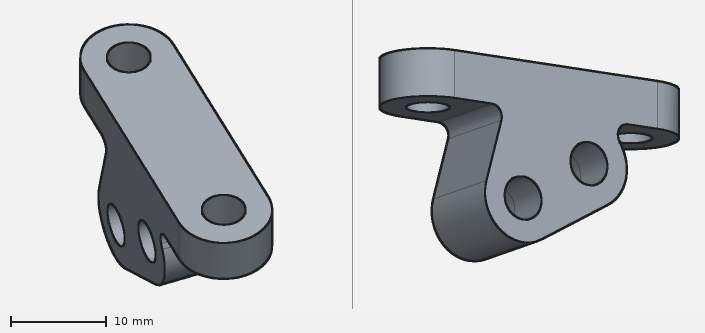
import cadquery as cq
import math

length = 35.55
width = 10.17
plate_thickness = 5.15
plate_hole_diameter = 4.6
plate_hole_x = (length - width) / 2

total_height = 19.55
lug_radius = 4.75
lug_hole_diameter = 4.62
low_pivot_x = -4.12
low_pivot_z = lug_radius - total_height
pivot_spacing = 9.53
pivot_line_angle = 30.0
left_flank_angle = 164.4
right_flank_angle = 30.0
root_fillet_radius = 1.28


def polar(center, radius, angle):
    """Point at a given radius and angle (degrees) about a centre."""
    turn = math.radians(angle)
    return (center[0] + radius * math.cos(turn), center[1] + radius * math.sin(turn))


def flank_end(tangent_point, normal_angle, z):
    """Point at height z on the line through tangent_point with the given normal."""
    rise = z - tangent_point[1]
    return (tangent_point[0] - rise * math.tan(math.radians(normal_angle)), z)


low_pivot = (low_pivot_x, low_pivot_z)
high_pivot = polar(low_pivot, pivot_spacing, pivot_line_angle)


def make_plate():
    return (
        cq.Workplane("XY")
        .slot2D(length, width)
        .extrude(-plate_thickness)
    )


def make_lug():
    underside = -plate_thickness
    bottom_angle = pivot_line_angle - 90
    left_tangent = polar(low_pivot, lug_radius, left_flank_angle)
    low_arc_middle = polar(low_pivot, lug_radius, (left_flank_angle + bottom_angle + 360) / 2)
    low_tangent = polar(low_pivot, lug_radius, bottom_angle)
    high_tangent = polar(high_pivot, lug_radius, bottom_angle)
    high_arc_middle = polar(high_pivot, lug_radius, (bottom_angle + right_flank_angle) / 2)
    right_tangent = polar(high_pivot, lug_radius, right_flank_angle)
    left_root = flank_end(left_tangent, left_flank_angle, underside)
    right_root = flank_end(right_tangent, right_flank_angle, underside)
    return (
        cq.Workplane("XZ")
        .moveTo(left_root[0], 0)
        .lineTo(*left_root)
        .lineTo(*left_tangent)
        .threePointArc(low_arc_middle, low_tangent)
        .lineTo(*high_tangent)
        .threePointArc(high_arc_middle, right_tangent)
        .lineTo(*right_root)
        .lineTo(right_root[0], 0)
        .close()
        .extrude(width / 2, both=True)
    )


def fillet_lug_roots(body):
    margin = 0.18
    root_zone = cq.selectors.BoxSelector(
        (-plate_hole_x + margin, -width, -plate_thickness - margin),
        (plate_hole_x - margin, width, -plate_thickness + margin),
    )
    return body.edges("|Y").edges(root_zone).fillet(root_fillet_radius)


def make_plate_holes():
    return (
        cq.Workplane("XY")
        .pushPoints([(-plate_hole_x, 0), (plate_hole_x, 0)])
        .circle(plate_hole_diameter / 2)
        .extrude(-plate_thickness)
    )


def make_pivot_holes():
    return (
        cq.Workplane("XZ")
        .pushPoints([low_pivot, high_pivot])
        .circle(lug_hole_diameter / 2)
        .extrude(width / 2, both=True)
    )


body = fillet_lug_roots(make_plate().union(make_lug()))
result = body.cut(make_plate_holes()).cut(make_pivot_holes())